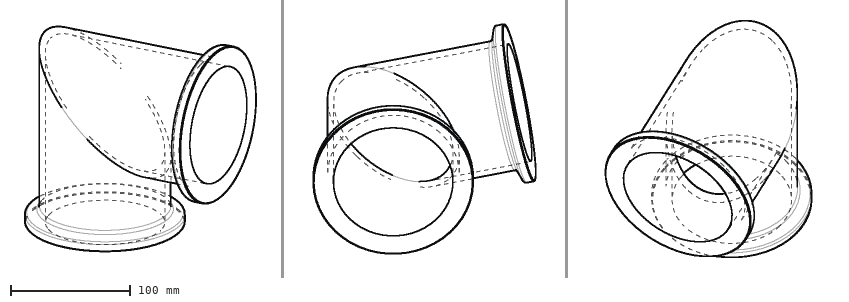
import cadquery as cq
import math

overall_length = 175.0
flange_diameter = 134.0
pipe_diameter = 110.0
bore_diameter = 100.0

root_height = 12.6
taper_angle = 20.0
root_fillet = 3.2
rim_fillet = 2.1
face_chamfer = 0.7

flange_radius = flange_diameter / 2
pipe_radius = pipe_diameter / 2
bore_radius = bore_diameter / 2
taper_drop = (flange_radius - pipe_radius) * math.tan(math.radians(taper_angle))
rim_height = root_height - taper_drop

leg_length = overall_length - flange_radius
straight_length = leg_length + flange_diameter


def ring_edge(radius, height):
    """Selector for the outer circular edge of the given radius and height."""
    margin = 0.2
    reach = radius + margin
    return cq.selectors.BoxSelector(
        (-reach, -reach, height - margin), (reach, reach, height + margin), boundingbox=True
    )


def straight_leg():
    """Bored pipe along -Z with its flange at the bottom."""
    leg = (
        cq.Workplane("XZ")
        .polyline([
            (0, 0),
            (flange_radius, 0),
            (flange_radius, rim_height),
            (pipe_radius, root_height),
            (pipe_radius, straight_length),
            (0, straight_length),
        ])
        .close()
        .revolve(360, (0, 0, 0), (0, 1, 0))
    )
    leg = leg.edges(ring_edge(pipe_radius, root_height)).fillet(root_fillet)
    leg = leg.edges(ring_edge(flange_radius, rim_height)).fillet(rim_fillet)
    leg = leg.faces("<Z").edges().chamfer(face_chamfer)
    bore = cq.Workplane("XY").circle(bore_radius).extrude(straight_length)
    return leg.cut(bore).translate((0, 0, -leg_length))


def mitred_leg():
    """Straight leg cut off on the 45 degree plane z = -x."""
    reach = 2 * overall_length
    above_mitre = (
        cq.Workplane("XZ")
        .polyline([(-reach, reach), (reach, -reach), (reach, reach)])
        .close()
        .extrude(flange_diameter, both=True)
    )
    return straight_leg().cut(above_mitre)


lower_leg = mitred_leg()
side_leg = lower_leg.rotate((0, 0, 0), (1, 0, -1), 180)
result = lower_leg.union(side_leg)